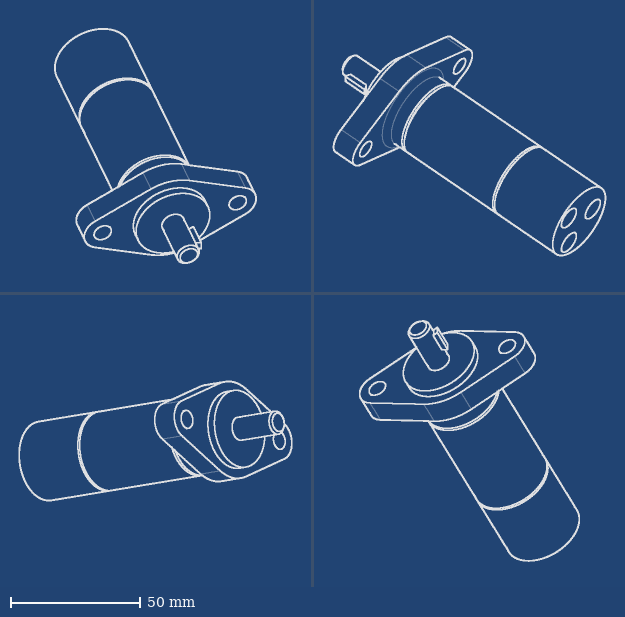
import cadquery as cq
import math

total_length = 118.7
cap_end = 29.9
body_start = 30.9
body_end = 76.5
collar_start = 77.6
flange_start = 85.7
flange_thickness = 10.0
flange_end = flange_start + flange_thickness
pilot_thickness = 3.3
pilot_end = flange_end + pilot_thickness

body_diameter = 31.0
groove_diameter = 26.8
pilot_diameter = 30.0
shaft_diameter = 9.0
shaft_chamfer = 1.0
collar_fillet = 2.5

flange_height = 37.9
flange_span = 70.0
bolt_spacing = 55.0
bolt_hole_diameter = 7.0

port_diameter = 8.8
port_depth = 11.9
port_centers = [(-8.1, 0.0), (5.9, 7.5), (5.9, -7.5)]

key_center_x = 109.8
key_flat_y = 6.4
key_disc_radius = 5.0
key_disc_center_y = 7.2
key_width = 3.0


def cylinder(start, end, diameter):
    """Round section centred on the X axis."""
    return cq.Workplane("YZ", origin=(start, 0, 0)).circle(diameter / 2).extrude(end - start)


def make_body():
    """Grooved cylinder whose collar flares into the flange with a concave fillet."""
    radius = body_diameter / 2
    fillet_start = flange_start - collar_fillet
    flare_radius = radius + collar_fillet
    mid_offset = collar_fillet * math.sqrt(0.5)
    arc_middle = (fillet_start + mid_offset, flare_radius - mid_offset)
    solid = (
        cq.Workplane("XY")
        .lineTo(0, radius)
        .lineTo(fillet_start, radius)
        .threePointArc(arc_middle, (flange_start, flare_radius))
        .lineTo(flange_start, 0)
        .close()
        .revolve(360, (0, 0, 0), (1, 0, 0))
    )
    for start, end in [(cap_end, body_start), (body_end, collar_start)]:
        ring = cylinder(start, end, 2 * body_diameter).cut(cylinder(start, end, groove_diameter))
        solid = solid.cut(ring)
    return solid


def make_flange():
    """Central disc and two end lobes joined by common tangents, with two bolt holes."""
    hub_radius = flange_height / 2
    lobe_offset = bolt_spacing / 2
    lobe_radius = flange_span / 2 - lobe_offset
    normal_y = (hub_radius - lobe_radius) / lobe_offset
    normal_z = math.sqrt(1 - normal_y**2)
    hub_y, hub_z = hub_radius * normal_y, hub_radius * normal_z
    lobe_y, lobe_z = lobe_offset + lobe_radius * normal_y, lobe_radius * normal_z
    return (
        cq.Workplane("YZ", origin=(flange_start, 0, 0))
        .moveTo(-hub_y, hub_z)
        .threePointArc((0, hub_radius), (hub_y, hub_z))
        .lineTo(lobe_y, lobe_z)
        .threePointArc((flange_span / 2, 0), (lobe_y, -lobe_z))
        .lineTo(hub_y, -hub_z)
        .threePointArc((0, -hub_radius), (-hub_y, -hub_z))
        .lineTo(-lobe_y, -lobe_z)
        .threePointArc((-flange_span / 2, 0), (-lobe_y, lobe_z))
        .close()
        .pushPoints([(-lobe_offset, 0), (lobe_offset, 0)])
        .circle(bolt_hole_diameter / 2)
        .extrude(flange_thickness)
    )


def make_shaft():
    """Output shaft with a chamfered tip."""
    return cylinder(pilot_end, total_length, shaft_diameter).faces(">X").chamfer(shaft_chamfer)


def make_key():
    """Disc segment below the key's flat outer face."""
    disc = (
        cq.Workplane("XY", origin=(key_center_x, key_disc_center_y, 0))
        .circle(key_disc_radius)
        .extrude(key_width / 2, both=True)
    )
    below_flat = cq.Workplane("XY").box(
        2 * key_disc_radius, key_flat_y, key_width, centered=(True, False, True)
    ).translate((key_center_x, 0, 0))
    return disc.intersect(below_flat)


def make_ports():
    """Cutters for the blind ports."""
    return (
        cq.Workplane("YZ")
        .pushPoints(port_centers)
        .circle(port_diameter / 2)
        .extrude(port_depth)
    )


pilot = cylinder(flange_end, pilot_end, pilot_diameter)
result = make_body().union(make_flange()).union(pilot).union(make_shaft()).union(make_key()).cut(make_ports())